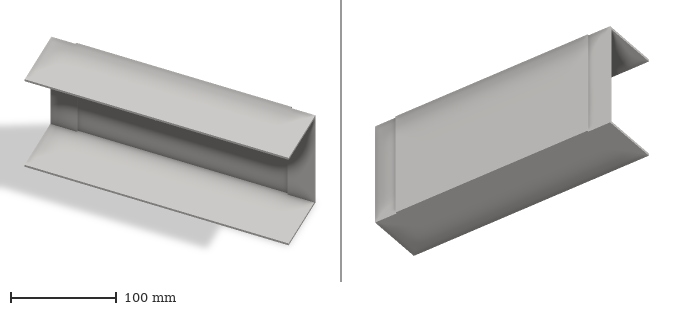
import cadquery as cq

length = 272.0
depth = 65.4
height = 114.4
thickness = 2.5
step = 1.7
end_length = 25.0

inner_height = height - 2 * thickness
middle_length = length - 2 * end_length
recess_length = middle_length - 2 * thickness

front_y = -depth / 2
back_y = depth / 2
end_back_y = back_y - step


def block(x_size, y_start, y_end, z_size):
    """Box centred on X and Z, spanning y_start to y_end."""
    y_size = y_end - y_start
    return cq.Workplane("XY").box(x_size, y_size, z_size).translate((0, (y_start + y_end) / 2, 0))


def outer_body():
    """Solid envelope: full-length body plus the shorter raised middle on the back."""
    body = block(length, front_y, end_back_y, height)
    raised_middle = block(middle_length, front_y, back_y, height)
    return body.union(raised_middle)


def inner_space():
    """Space between the flanges, deeper behind the middle of the web."""
    channel = block(length, front_y, end_back_y - thickness, inner_height)
    recess = block(recess_length, front_y, back_y - thickness, inner_height)
    return channel.union(recess)


result = outer_body().cut(inner_space())